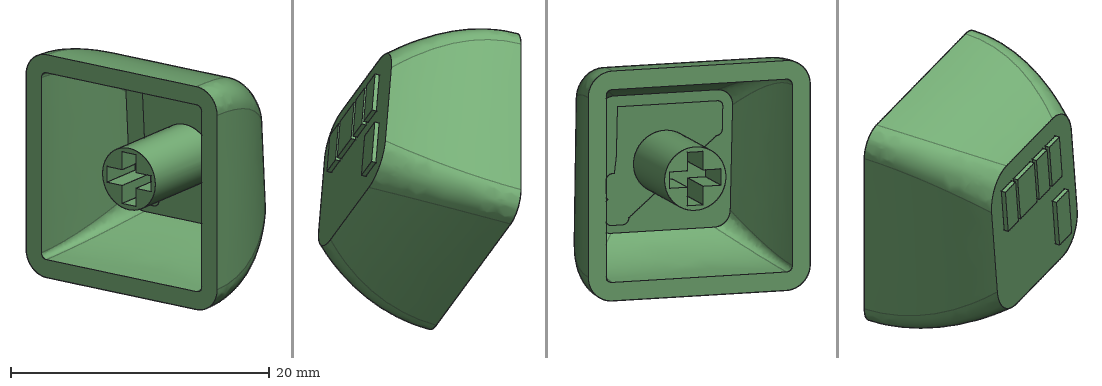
import cadquery as cq
import math

RIM_WIDTH = 18.1
RIM_CORNER = 1.97
FACE_WIDTH = 12.72
FACE_CORNER = 2.72
FACE_DEPTH = 10.05
FACE_LEAN = 4.0

WALL = 1.47
CAVITY_CORNER = 0.47
FLOOR_WIDTH = 10.97
FLOOR_CORNER = 1.27
FACE_WALL = 1.4
FLOOR_DEPTH = FACE_DEPTH - FACE_WALL

STEM_DIAMETER = 5.0
STEM_START = 1.0
CROSS_LENGTH = 4.2
CROSS_ARM = 1.29
CROSS_DEPTH = 3.8

PLATE_THICKNESS = 0.55
PLATE_BACK = FLOOR_DEPTH + PLATE_THICKNESS
MARK_RISE = 0.36
PLATE_TOP = 4.6
PLATE_RIGHT = 4.69
PLATE_RIGHT_END = 1.83
PLATE_RIGHT_CORNER = 0.45
PLATE_UPPER_LEFT = -3.91
PLATE_BEND = 0.65
PLATE_STEP_X = -4.04
FOOT_TOP = -0.7
FOOT_LEFT = -4.7
FOOT_RIGHT = -2.77
FOOT_BOTTOM = -4.85
FOOT_CORNER = 0.55
NICK_Z = -2.77
NICK_DEPTH = 0.2
NICK_HALF_HEIGHT = 0.16

ROW_BOTTOM = 1.05
ROW_TOP = 4.63
ROW_SPANS = [(-3.91, -2.32), (-1.95, -0.25), (0.09, 2.73), (3.05, PLATE_RIGHT)]
FOOT_MARK_BOTTOM = -4.63
FOOT_MARK_SPAN = (FOOT_LEFT, FOOT_RIGHT)

LOFT_STEPS = 4
ARC_MIDPOINT = math.sqrt(0.5)


def leaning_plane(depth, lean):
    """Plane facing -Y that crosses the stem axis at the given depth; local y runs along Z."""
    angle = math.radians(lean)
    return cq.Plane(
        origin=(0, depth, 0),
        xDir=(1, 0, 0),
        normal=(0, -math.cos(angle), -math.sin(angle)),
    )


def rounded_square(plane, width, corner):
    """Closed wire of a square with rounded corners on the given plane."""
    half = width / 2
    flat = half - corner
    bulge = flat + corner * ARC_MIDPOINT
    return (
        cq.Workplane(plane)
        .moveTo(-flat, -half)
        .lineTo(flat, -half)
        .threePointArc((bulge, -bulge), (half, -flat))
        .lineTo(half, flat)
        .threePointArc((bulge, bulge), (flat, half))
        .lineTo(-flat, half)
        .threePointArc((-bulge, bulge), (-half, flat))
        .lineTo(-half, -flat)
        .threePointArc((-bulge, -bulge), (-flat, -half))
        .close()
        .val()
    )


def domed_block(start_width, end_width, start_corner, end_corner, depth):
    """Rounded square block whose sides leave the rim at right angles and arc in to the leaning end."""
    full_inset = (start_width - end_width) / 2
    arc_radius = (depth**2 + full_inset**2) / (2 * full_inset)
    sections = []
    for step in range(LOFT_STEPS + 1):
        share = step / LOFT_STEPS
        inset = arc_radius - math.sqrt(arc_radius**2 - (share * depth) ** 2)
        width = start_width - 2 * inset
        corner = start_corner + (end_corner - start_corner) * inset / full_inset
        plane = leaning_plane(share * depth, share * FACE_LEAN)
        sections.append(rounded_square(plane, width, corner))
    return cq.Workplane(cq.Solid.makeLoft(sections))


def leaning_slab(start_depth, end_depth):
    """Wide slab parallel to the closed face, between two depths on the stem axis."""
    thickness = (end_depth - start_depth) * math.cos(math.radians(FACE_LEAN))
    return (
        cq.Workplane(leaning_plane(start_depth, FACE_LEAN))
        .rect(RIM_WIDTH, RIM_WIDTH)
        .extrude(-thickness)
    )


def make_stem():
    """Round stem from its end near the rim to the back of the plate, inside the closed wall."""
    cylinder = (
        cq.Workplane("XZ", origin=(0, STEM_START, 0))
        .circle(STEM_DIAMETER / 2)
        .extrude(STEM_START - FACE_DEPTH)
    )
    return cylinder.cut(leaning_slab(PLATE_BACK, RIM_WIDTH))


def cross_socket():
    """Cross-shaped pocket in the end of the stem."""
    end_plane = cq.Workplane("XZ", origin=(0, STEM_START, 0))
    across = end_plane.rect(CROSS_LENGTH, CROSS_ARM).extrude(-CROSS_DEPTH)
    upright = end_plane.rect(CROSS_ARM, CROSS_LENGTH).extrude(-CROSS_DEPTH)
    return across.union(upright)


def plate_prism():
    """Plate outline carried along Y through the whole part."""
    right_inner = PLATE_RIGHT - PLATE_RIGHT_CORNER
    right_bulge = right_inner + PLATE_RIGHT_CORNER * ARC_MIDPOINT
    right_upper = PLATE_TOP - PLATE_RIGHT_CORNER
    right_lower = PLATE_RIGHT_END + PLATE_RIGHT_CORNER
    right_rise = PLATE_RIGHT_CORNER * ARC_MIDPOINT
    foot_low = FOOT_BOTTOM + FOOT_CORNER
    foot_high = FOOT_TOP - FOOT_CORNER
    foot_left_inner = FOOT_LEFT + FOOT_CORNER
    foot_right_inner = FOOT_RIGHT - FOOT_CORNER
    foot_rise = FOOT_CORNER * ARC_MIDPOINT
    return (
        cq.Workplane("XZ")
        .moveTo(PLATE_UPPER_LEFT, PLATE_TOP)
        .lineTo(right_inner, PLATE_TOP)
        .threePointArc((right_bulge, right_upper + right_rise), (PLATE_RIGHT, right_upper))
        .lineTo(PLATE_RIGHT, right_lower)
        .threePointArc((right_bulge, right_lower - right_rise), (right_inner, PLATE_RIGHT_END))
        .lineTo(FOOT_RIGHT, foot_low)
        .threePointArc(
            (foot_right_inner + foot_rise, foot_low - foot_rise), (foot_right_inner, FOOT_BOTTOM)
        )
        .lineTo(foot_left_inner, FOOT_BOTTOM)
        .threePointArc((foot_left_inner - foot_rise, foot_low - foot_rise), (FOOT_LEFT, foot_low))
        .lineTo(FOOT_LEFT, NICK_Z - NICK_HALF_HEIGHT)
        .lineTo(FOOT_LEFT + NICK_DEPTH, NICK_Z)
        .lineTo(FOOT_LEFT, NICK_Z + NICK_HALF_HEIGHT)
        .lineTo(FOOT_LEFT, foot_high)
        .threePointArc((foot_left_inner - foot_rise, foot_high + foot_rise), (foot_left_inner, FOOT_TOP))
        .lineTo(PLATE_STEP_X, FOOT_TOP)
        .lineTo(PLATE_UPPER_LEFT, PLATE_BEND)
        .close()
        .extrude(-RIM_WIDTH)
    )


def mark_prism(span, bottom, top):
    """Rectangular mark carried along Y through the whole part."""
    left, right = span
    return (
        cq.Workplane("XZ")
        .center((left + right) / 2, (bottom + top) / 2)
        .rect(right - left, top - bottom)
        .extrude(-RIM_WIDTH)
    )


def make_inlay(stem):
    """Plate that fits around the stem, with its marks standing proud of the closed face."""
    inlay = plate_prism().intersect(leaning_slab(FLOOR_DEPTH, PLATE_BACK)).cut(stem)
    marks = [mark_prism(span, ROW_BOTTOM, ROW_TOP) for span in ROW_SPANS]
    marks.append(mark_prism(FOOT_MARK_SPAN, FOOT_MARK_BOTTOM, FOOT_TOP))
    mark_slab = leaning_slab(PLATE_BACK, FACE_DEPTH + MARK_RISE)
    for mark in marks:
        inlay = inlay.union(mark.intersect(mark_slab))
    return inlay


def make_keycap(stem, inlay):
    """Hollow shell with its stem and socket, cut out to hold the inlay."""
    opening_width = RIM_WIDTH - 2 * WALL
    outside = domed_block(RIM_WIDTH, FACE_WIDTH, RIM_CORNER, FACE_CORNER, FACE_DEPTH)
    cavity = domed_block(opening_width, FLOOR_WIDTH, CAVITY_CORNER, FLOOR_CORNER, FLOOR_DEPTH)
    return outside.cut(cavity).union(stem).cut(cross_socket()).cut(inlay)


stem = make_stem()
inlay = make_inlay(stem)
keycap = make_keycap(stem, inlay)

result = cq.Compound.makeCompound([keycap.solids().val(), inlay.solids().val()])